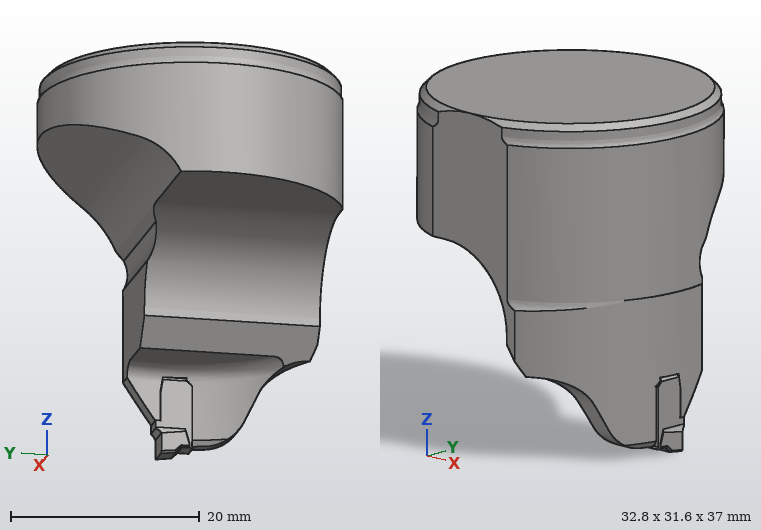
import cadquery as cq
import math

total_height = 37.0
reach = 44.4

head_radius = 16.28
front_flat = 15.3
neck_radius = 16.02
top_chamfer = neck_radius - front_flat
neck_bottom = -1.7
neck_fillet = 1.3
neck_fillet_height = math.sqrt(neck_fillet**2 - (neck_fillet - head_radius + neck_radius) ** 2)
head_bottom = -19.42

shank_axis_x = -0.8
shank_outer_radius = 17.02
shank_inner_radius = 15.05
shank_bottom = -35.93
shank_fillet = 1.5
inner_wall_top = -28.9
shank_edge_bevel = 0.3
shank_edge_bevel_height = 0.6

clearance_ceiling = -14.5
clearance_radius = 9.0
clearance_wall_x = 5.45
clearance_wall_bottom = -24.4
clearance_toe_x = 8.1
clearance_toe_z = -28.2

back_slope_top = -6.85
back_hollow_start = (8.95, -10.3)
back_hollow_middle = (6.3, -12.1)
back_hollow_end = (4.6, clearance_ceiling)
shank_back_y = 3.77
back_groove_start = (3.65, -15.43)
back_groove_middle = (3.25, -16.85)
back_groove_end = (shank_back_y, -18.72)
blade_back_tip_y = -2.05

front_ceiling = -27.65
front_slope = math.radians(65.4)
front_upper_radius = 5.18
front_lower_radius = 4.0
front_upper_center_y = -14.55

insert_center_x = 15.02
insert_body_half_width = 1.15
insert_edge_half_width = 1.48
insert_heel_half_width = 1.25
insert_top = -28.45
insert_top_bevel = 0.37
insert_shoulder_top = -34.1
insert_shoulder_bottom = -34.8
insert_heel_y = -3.05
insert_heel_lean = 0.48
insert_heel_bottom = -36.2
insert_heel_top = -35.75
cutting_face_y = 0.07
insert_back_y = -3.33
insert_back_top = -29.35
insert_top_corner_width = 0.6
insert_top_corner_flat = 0.3
insert_top_taper = 0.3
insert_taper_bottom = -30.15
insert_stop_y = 0.63
insert_stop_top = -33.35
insert_stop_bottom = -34.22
insert_lip = 0.1
chip_breaker_middle = (0.3, -34.52)
clearance_face_end = (-1.55, -36.8)
underside_step_y = -2.22
selection_margin = 0.05
insert_edge_corner = 0.22


def turned(profile, axis_x=0.0):
    """Revolve a profile of (radius, Z) about the vertical axis at axis_x."""
    return profile.close().revolve(360, (0, 0, 0), (0, 1, 0)).translate((axis_x, 0, 0))


def along_x(profile):
    """Extrude a (Y, Z) profile through the whole part along X."""
    return profile.close().extrude(reach, both=True)


def along_y(profile):
    """Extrude an (X, Z) profile through the whole part along Y."""
    return profile.close().extrude(reach, both=True)


def head():
    """Disc with a chamfered top and a slightly smaller neck."""
    fillet_bottom = neck_bottom - neck_fillet_height
    half_angle = math.asin(neck_fillet_height / neck_fillet) / 2
    profile = (
        cq.Workplane("XZ")
        .lineTo(front_flat, 0)
        .lineTo(neck_radius, -top_chamfer)
        .lineTo(neck_radius, neck_bottom)
        .threePointArc(
            (
                neck_radius + neck_fillet * (1 - math.cos(half_angle)),
                neck_bottom - neck_fillet * math.sin(half_angle),
            ),
            (head_radius, fillet_bottom),
        )
        .lineTo(head_radius, head_bottom)
        .lineTo(0, head_bottom)
    )
    return turned(profile)


def shank_outside():
    """Shank cylinder, joined to the head by a fillet that follows the head."""
    bevel_top = shank_bottom + shank_edge_bevel_height
    cylinder = turned(
        cq.Workplane("XZ")
        .moveTo(0, head_bottom)
        .lineTo(shank_outer_radius, head_bottom)
        .lineTo(shank_outer_radius, bevel_top)
        .lineTo(shank_outer_radius - shank_edge_bevel, shank_bottom)
        .lineTo(0, shank_bottom),
        shank_axis_x,
    )
    flare_radius = head_radius + shank_fillet
    flare_middle = shank_fillet * math.sin(math.pi / 4)
    flare = turned(
        cq.Workplane("XZ")
        .moveTo(0, head_bottom)
        .lineTo(head_radius, head_bottom)
        .threePointArc(
            (flare_radius - flare_middle, head_bottom - flare_middle),
            (flare_radius, head_bottom - shank_fillet),
        )
        .lineTo(flare_radius, -total_height)
        .lineTo(0, -total_height)
    )
    return cylinder.intersect(flare)


def shank_inside():
    """Space inside the curved blade, with a rounded ceiling."""
    ceiling = inner_wall_top + shank_fillet
    round_middle = shank_fillet * math.sin(math.pi / 4)
    round_start = shank_inner_radius - shank_fillet
    profile = (
        cq.Workplane("XZ")
        .moveTo(0, ceiling)
        .lineTo(round_start, ceiling)
        .threePointArc(
            (round_start + round_middle, inner_wall_top + round_middle),
            (shank_inner_radius, inner_wall_top),
        )
        .lineTo(shank_inner_radius, shank_bottom + shank_edge_bevel_height)
        .lineTo(shank_inner_radius + shank_edge_bevel, shank_bottom)
        .lineTo(shank_inner_radius + shank_edge_bevel, -total_height)
        .lineTo(0, -total_height)
    )
    return turned(profile, shank_axis_x)


def front_flat_cut():
    return cq.Workplane("XY").box(2 * reach, reach, 2 * reach).translate((0, -front_flat - reach / 2, 0))


def under_head_cut():
    """Clearance with a large rounded corner and a sloped toe."""
    center_x = clearance_wall_x - clearance_radius
    center_z = clearance_ceiling - clearance_radius
    arc_middle = clearance_radius * math.sin(math.pi / 4)
    return along_y(
        cq.Workplane("XZ")
        .moveTo(-reach, clearance_ceiling)
        .lineTo(center_x, clearance_ceiling)
        .threePointArc((center_x + arc_middle, center_z + arc_middle), (clearance_wall_x, center_z))
        .lineTo(clearance_wall_x, clearance_wall_bottom)
        .lineTo(clearance_toe_x, clearance_toe_z)
        .lineTo(clearance_toe_x, -reach)
        .lineTo(-reach, -reach)
    )


def front_edge_cut():
    """S-shaped sweep from the front flat to the bottom of the blade."""
    upper_center_z = front_ceiling - front_upper_radius
    lower_center_z = shank_bottom + front_lower_radius

    def upper_point(angle):
        return (
            front_upper_center_y + front_upper_radius * math.sin(angle),
            upper_center_z + front_upper_radius * math.cos(angle),
        )

    upper_end_y, upper_end_z = upper_point(front_slope)
    lower_start_z = lower_center_z - front_lower_radius * math.cos(front_slope)
    lower_start_y = upper_end_y + (upper_end_z - lower_start_z) / math.tan(front_slope)
    lower_center_y = lower_start_y + front_lower_radius * math.sin(front_slope)

    def lower_point(angle):
        return (
            lower_center_y - front_lower_radius * math.sin(angle),
            lower_center_z - front_lower_radius * math.cos(angle),
        )

    return along_x(
        cq.Workplane("YZ")
        .moveTo(-reach, front_ceiling)
        .lineTo(front_upper_center_y, front_ceiling)
        .threePointArc(upper_point(front_slope / 2), (upper_end_y, upper_end_z))
        .lineTo(lower_start_y, lower_start_z)
        .threePointArc(lower_point(front_slope / 2), (lower_center_y, shank_bottom))
        .lineTo(lower_center_y, -reach)
        .lineTo(-reach, -reach)
    )


def back_cut():
    """Sloped and hollowed back of the head and the sloped back of the blade."""
    return along_x(
        cq.Workplane("YZ")
        .moveTo(reach, back_slope_top)
        .lineTo(head_radius, back_slope_top)
        .lineTo(*back_hollow_start)
        .threePointArc(back_hollow_middle, back_hollow_end)
        .lineTo(*back_groove_start)
        .threePointArc(back_groove_middle, back_groove_end)
        .lineTo(shank_back_y, inner_wall_top)
        .lineTo(blade_back_tip_y, -total_height)
        .lineTo(reach, -total_height)
    )


def insert_side():
    """Side outline of the insert, through the whole part along X."""
    top = [
        (insert_back_y + insert_top_corner_width, insert_top - insert_top_corner_flat),
        (insert_back_y + insert_top_corner_width, insert_top),
        (cutting_face_y - insert_top_taper, insert_top),
    ]
    cutting_face = [
        (cutting_face_y, insert_taper_bottom),
        (cutting_face_y, insert_stop_top),
        (insert_stop_y, insert_stop_top),
        (insert_stop_y, insert_stop_bottom),
        chip_breaker_middle,
        (cutting_face_y, insert_shoulder_bottom),
    ]
    underside = [
        (cutting_face_y, -total_height),
        clearance_face_end,
        (underside_step_y, insert_heel_bottom),
        (insert_back_y - insert_lip, insert_heel_bottom),
        (insert_back_y, shank_bottom),
        (insert_back_y, insert_back_top),
    ]
    return along_x(cq.Workplane("YZ").polyline(top + cutting_face + underside))


def mirrored_outline(plane, right):
    """Closed outline from its right half, symmetric about the middle of the insert."""
    left = [(-x, height) for x, height in reversed(right)]
    outline = cq.Workplane(plane).polyline(right + left).close()
    return outline.extrude(reach, both=True).translate((insert_center_x, 0, 0))


def insert_blade():
    """Narrow blade with bevelled top edges."""
    half = insert_body_half_width
    right = [
        (half - insert_top_bevel, insert_top),
        (half, insert_top - insert_top_bevel),
        (half, -total_height),
    ]
    return insert_side().intersect(mirrored_outline("XZ", right))


def insert_edge():
    """Wide cutting edge that narrows toward the heel and has bevelled lower corners."""
    edge = insert_edge_half_width
    front = [
        (insert_body_half_width, insert_shoulder_top),
        (edge, insert_shoulder_bottom),
        (edge, -total_height),
    ]
    plan = [
        (edge, reach),
        (edge, cutting_face_y),
        (insert_heel_half_width, insert_heel_y),
        (insert_heel_half_width, -reach),
    ]
    heel = along_x(
        cq.Workplane("YZ").polyline(
            [
                (reach, insert_shoulder_top),
                (insert_heel_y + insert_heel_lean, insert_shoulder_top),
                (insert_heel_y, insert_heel_top),
                (insert_heel_y, -total_height),
                (reach, -total_height),
            ]
        )
    )
    block = insert_side().intersect(heel)
    block = block.intersect(mirrored_outline("XZ", front)).intersect(mirrored_outline("XY", plan))
    underside = cq.selectors.BoxSelector(
        (-reach, insert_heel_y, -total_height), (reach, cutting_face_y, insert_heel_bottom + selection_margin)
    )
    return block.edges(underside).edges("not |X").chamfer(insert_edge_corner)


holder = (
    head()
    .union(shank_outside())
    .cut(shank_inside())
    .cut(front_flat_cut())
    .cut(under_head_cut())
    .cut(front_edge_cut())
    .cut(back_cut())
    .cut(insert_side())
)
insert = insert_blade().union(insert_edge())

result = cq.Compound.makeCompound([holder.val(), insert.val()])